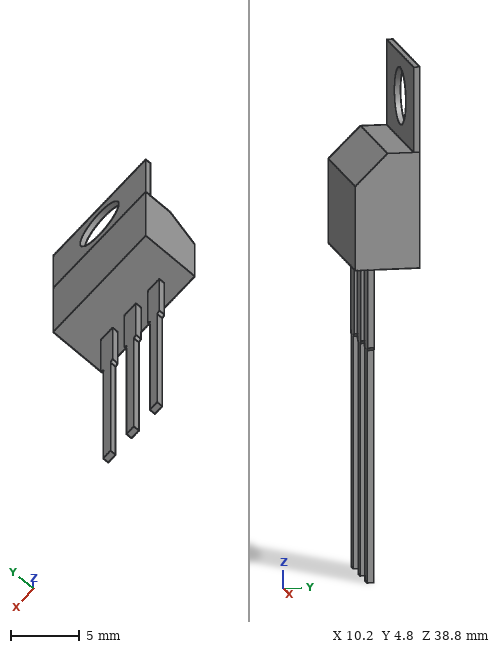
import cadquery as cq

total_height = 38.8
width = 10.15
depth = 4.8

tab_height = 6.35
tab_thickness = 0.45
hole_diameter = 4.23

housing_height = 8.65
bevel_run = depth / 2
bevel_height = 2.35

lead_count = 3
lead_pitch = 2.55
lead_thickness = 0.5
lead_setback = 3.25
root_width = 1.28
tip_width = 0.8
root_length = 6.2
shoulder_height = 0.25
lead_length = total_height - tab_height - housing_height

back_y = depth / 2
front_y = -depth / 2
lead_y = back_y - lead_setback


def make_housing():
    """Block with the upper front edge bevelled, extruded across the width."""
    bevel_bottom = housing_height - bevel_height
    profile = [
        (back_y, 0),
        (back_y, housing_height),
        (front_y + bevel_run, housing_height),
        (front_y, bevel_bottom),
        (front_y, 0),
    ]
    return cq.Workplane("YZ").polyline(profile).close().extrude(width / 2, both=True)


def make_tab():
    """Plate flush with the back of the housing, with a central through hole."""
    return (
        cq.Workplane("XZ", origin=(0, back_y, housing_height + tab_height / 2))
        .rect(width, tab_height)
        .circle(hole_diameter / 2)
        .extrude(tab_thickness)
    )


def make_lead(center_x):
    """Flat lead that narrows at a short sloped shoulder below its root."""
    shoulder_top = -root_length
    shoulder_bottom = shoulder_top - shoulder_height
    outline = [
        (-root_width / 2, 0),
        (root_width / 2, 0),
        (root_width / 2, shoulder_top),
        (tip_width / 2, shoulder_bottom),
        (tip_width / 2, -lead_length),
        (-tip_width / 2, -lead_length),
        (-tip_width / 2, shoulder_bottom),
        (-root_width / 2, shoulder_top),
    ]
    return (
        cq.Workplane("XZ", origin=(center_x, lead_y, 0))
        .polyline(outline)
        .close()
        .extrude(lead_thickness / 2, both=True)
    )


housing = make_housing()
tab = make_tab()

leads = []
for index in range(lead_count):
    center_x = (index - (lead_count - 1) / 2) * lead_pitch
    leads.append(make_lead(center_x))

result = cq.Compound.makeCompound([housing.val(), tab.val(), *[lead.val() for lead in leads]])